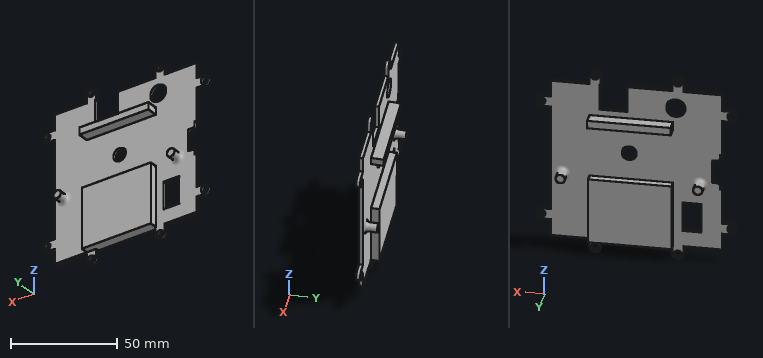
import cadquery as cq

overall_size = 95.8
plate_side = 82.0
plate_thickness = 2.0
half_plate = plate_side / 2

ear_width = 5.5
ear_radius = ear_width / 2
ear_hole_diameter = 3.45
ear_reach = overall_size / 2 - ear_radius
ear_hole_shift = 0.2
ear_hole_reach = ear_reach + ear_hole_shift
side_ear_z = 29.9
end_ear_x = 19.8

large_hole_diameter = 9.0
large_hole_x, large_hole_z = -18.9, 32.0
small_hole_diameter = 7.0
small_hole_x, small_hole_z = 3.45, 6.0

window = (-30.9, -22.1, -32.8, -17.8)

top_notch_left, top_notch_right = 4.4, 17.5
top_notch_floor = 27.9

step_depth = 1.0
step_half_height = 9.0
notch_depth = 4.9
notch_half_height = 5.9
notch_corner_radius = 1.0

back_height = 6.0
bar_left, bar_right = -17.5, 22.4
bar_bottom, bar_top = 20.6, 24.5
post_diameter = 4.4
post_flare_radius = 1.9
post_z = -7.6
post_xs = (-30.5, 35.35)
block_height = 4.0


def box(left, right, bottom, top, depth, start_y=0.0):
    """Block over an X-Z rectangle, running from start_y towards +Y."""
    return cq.Workplane("XY").box(right - left, depth, top - bottom, centered=False).translate(
        (left, start_y, bottom)
    )


def cylinder(x, z, diameter, depth):
    """Cylinder along +Y starting at the front face."""
    solid = cq.Solid.makeCylinder(diameter / 2, depth, cq.Vector(x, 0, z), cq.Vector(0, 1, 0))
    return cq.Workplane(obj=solid)


def ear_centres(reach):
    """The eight X-Z places on the ear axes, at the given reach from the plate centre."""
    signs = [(sx, sz) for sx in (-1, 1) for sz in (-1, 1)]
    side_ears = [(sx * reach, sz * side_ear_z) for sx, sz in signs]
    end_ears = [(sx * end_ear_x, sz * reach) for sx, sz in signs]
    return side_ears + end_ears


def ear(x, z):
    """Round-ended ear around (x, z), with a root running straight back to the plate."""
    root_x = max(-half_plate, min(half_plate, x))
    root_z = max(-half_plate, min(half_plate, z))
    reach_x, reach_z = abs(x - root_x), abs(z - root_z)
    half_x = reach_x / 2 or ear_radius
    half_z = reach_z / 2 or ear_radius
    mid_x, mid_z = (x + root_x) / 2, (z + root_z) / 2
    root = box(mid_x - half_x, mid_x + half_x, mid_z - half_z, mid_z + half_z, plate_thickness)
    return root.union(cylinder(x, z, ear_width, plate_thickness))


def left_notch():
    """Shallow step, then a deeper pocket with rounded mouth and inner corners."""
    step_x = -half_plate + step_depth
    inner_x = -half_plate + notch_depth
    r = notch_corner_radius
    profile = (
        cq.Workplane("XZ")
        .moveTo(-half_plate, -step_half_height)
        .lineTo(step_x, -step_half_height)
        .lineTo(step_x, -notch_half_height - r)
        .radiusArc((step_x + r, -notch_half_height), r)
        .lineTo(inner_x - r, -notch_half_height)
        .radiusArc((inner_x, -notch_half_height + r), -r)
        .lineTo(inner_x, notch_half_height - r)
        .radiusArc((inner_x - r, notch_half_height), -r)
        .lineTo(step_x + r, notch_half_height)
        .radiusArc((step_x, notch_half_height + r), r)
        .lineTo(step_x, step_half_height)
        .lineTo(-half_plate, step_half_height)
        .close()
    )
    return profile.extrude(-plate_thickness)


def post(x):
    """Round post on the back face, flaring out where it meets the plate."""
    radius = post_diameter / 2
    base_y = plate_thickness
    profile = (
        cq.Workplane("XY")
        .moveTo(0, 0)
        .lineTo(radius + post_flare_radius, 0)
        .lineTo(radius + post_flare_radius, base_y)
        .radiusArc((radius, base_y + post_flare_radius), post_flare_radius)
        .lineTo(radius, base_y + back_height)
        .lineTo(0, base_y + back_height)
        .close()
    )
    return profile.revolve(360, (0, 0), (0, 1)).translate((x, 0, post_z))


plate = box(-half_plate, half_plate, -half_plate, half_plate, plate_thickness)
for ear_x, ear_z in ear_centres(ear_reach):
    plate = plate.union(ear(ear_x, ear_z))

for ear_x, ear_z in ear_centres(ear_hole_reach):
    plate = plate.cut(cylinder(ear_x, ear_z, ear_hole_diameter, plate_thickness))
plate = plate.cut(cylinder(large_hole_x, large_hole_z, large_hole_diameter, plate_thickness))
plate = plate.cut(cylinder(small_hole_x, small_hole_z, small_hole_diameter, plate_thickness))
plate = plate.cut(box(*window, plate_thickness))
plate = plate.cut(box(top_notch_left, top_notch_right, top_notch_floor, half_plate, plate_thickness))
plate = plate.cut(left_notch())

result = plate.union(box(bar_left, bar_right, bar_bottom, bar_top, back_height, plate_thickness))
result = result.union(box(bar_left, bar_right, -half_plate, post_z, block_height, plate_thickness))
for post_x in post_xs:
    result = result.union(post(post_x))